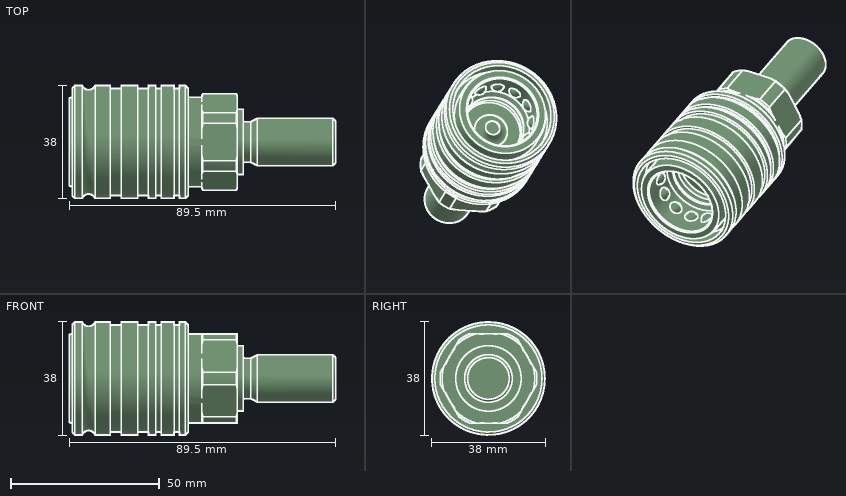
import cadquery as cq
import math


total_length = 89.5
core_radius = 15.05
mouth_edge_axial = 1.0
mouth_edge_radial = 0.3
hex_across_flats = 30.0
hex_corner_radius = 16.25
hex_start = 44.5
hex_end = 56.5
hex_edge_axial = 0.4
hex_edge_radial = 0.7
collar_radius = 11.0
collar_end = 58.5
undercut_radius = 6.85
undercut_fillet = 0.3
undercut_end = 61.0
shank_radius = 8.0
shank_start = 63.2
shank_chamfer = 1.0

mouth_radius = 12.4
socket_radius = 12.0
socket_chamfer = mouth_radius - socket_radius
socket_depth = 13.0
seat_radius = 10.3
seat_start = 13.95
seat_end = 14.55
seal_groove_width = 2.0
seal_groove_depth = 1.0
seal_groove_end = seat_end + seal_groove_width
bore_radius = 10.0
bore_depth = seal_groove_end + 2.0

pin_radius = 2.45
pin_flare = 3.1
pin_recess_clearance = 0.1
pin_recess_radius = pin_radius + pin_flare + pin_recess_clearance
pin_recess_depth = 0.3

ball_count = 12
ball_radius = 2.35
ball_x = 8.0
ball_circle_radius = 12.65

sleeve_radius = 19.0
sleeve_start = 0.95
sleeve_end = 40.0
sleeve_chamfer = 1.0
front_recess_radius = 16.85
front_recess_depth = 6.0
front_recess_floor = sleeve_start + front_recess_depth
ring_groove_radius = 18.0
ring_grooves = [(13.8, 17.4), (23.1, 26.6), (29.1, 30.9), (35.2, 37.0)]
grip_groove_start = 4.35
grip_groove_end = 8.7
grip_groove_depth = 1.45


def revolve_about_x(profile):
    """Turn a closed XY profile around the X axis."""
    return profile.close().revolve(360, (0, 0, 0), (1, 0, 0))


def cylinder_x(start, end, radius):
    """Cylinder on the X axis between two X places."""
    return cq.Workplane("YZ", origin=(start, 0, 0)).circle(radius).extrude(end - start)


def make_stepped_blank():
    """Solid outside of the core, with the neck left round and the nut as a disc."""
    profile = (
        cq.Workplane("XY")
        .moveTo(0, 0)
        .lineTo(0, core_radius - mouth_edge_radial)
        .lineTo(mouth_edge_axial, core_radius)
        .lineTo(hex_start, core_radius)
        .lineTo(hex_start, hex_corner_radius - hex_edge_radial)
        .lineTo(hex_start + hex_edge_axial, hex_corner_radius)
        .lineTo(hex_end - hex_edge_axial, hex_corner_radius)
        .lineTo(hex_end, hex_corner_radius - hex_edge_radial)
        .lineTo(hex_end, collar_radius)
        .lineTo(collar_end, collar_radius)
        .lineTo(collar_end, undercut_radius + undercut_fillet)
        .radiusArc((collar_end + undercut_fillet, undercut_radius), -undercut_fillet)
        .lineTo(undercut_end, undercut_radius)
        .lineTo(shank_start, shank_radius)
        .lineTo(total_length - shank_chamfer, shank_radius)
        .lineTo(total_length, shank_radius - shank_chamfer)
        .lineTo(total_length, 0)
    )
    return revolve_about_x(profile)


def make_flat_cutter():
    """Material outside the hexagon, from the sleeve's rear end to the end of the nut."""
    length = hex_end - sleeve_end
    corner_diameter = hex_across_flats / math.cos(math.pi / 6)
    hexagon = cq.Workplane("YZ", origin=(sleeve_end, 0, 0)).polygon(6, corner_diameter).extrude(length)
    return cylinder_x(sleeve_end, hex_end, sleeve_radius).cut(hexagon)


def make_socket_cutter():
    """Socket space: chamfered mouth, seat cone, seal groove and bore with the pin left standing."""
    floor = bore_depth + pin_recess_depth
    flare_mid = pin_flare * (1 - math.sqrt(0.5))
    profile = (
        cq.Workplane("XY")
        .moveTo(0, 0)
        .lineTo(0, mouth_radius)
        .lineTo(socket_chamfer, socket_radius)
        .lineTo(socket_depth, socket_radius)
        .lineTo(seat_start, seat_radius)
        .lineTo(seat_end, seat_radius)
        .threePointArc(
            (seat_end + seal_groove_width / 2, seat_radius + seal_groove_depth),
            (seal_groove_end, bore_radius),
        )
        .lineTo(bore_depth, bore_radius)
        .lineTo(bore_depth, pin_recess_radius)
        .lineTo(floor, pin_recess_radius)
        .lineTo(floor, pin_radius + pin_flare)
        .threePointArc(
            (floor - flare_mid, pin_radius + flare_mid),
            (floor - pin_flare, pin_radius),
        )
        .lineTo(floor - pin_flare, 0)
    )
    return revolve_about_x(profile)


def make_core():
    """Socket, nut and shank in one piece, with the ring of balls standing into the socket."""
    core = make_stepped_blank().cut(make_flat_cutter()).cut(make_socket_cutter())
    for index in range(ball_count):
        angle = math.pi / 2 + 2 * math.pi * index / ball_count
        centre_y = ball_circle_radius * math.cos(angle)
        centre_z = ball_circle_radius * math.sin(angle)
        core = core.union(cq.Workplane("XY").sphere(ball_radius).translate((ball_x, centre_y, centre_z)))
    return core


def make_sleeve():
    """Grip sleeve with a rounded groove, ring grooves and an open recess around the mouth."""
    groove_middle = (grip_groove_start + grip_groove_end) / 2
    profile = (
        cq.Workplane("XY")
        .moveTo(sleeve_start, front_recess_radius)
        .lineTo(sleeve_start, sleeve_radius - sleeve_chamfer)
        .lineTo(sleeve_start + sleeve_chamfer, sleeve_radius)
        .lineTo(grip_groove_start, sleeve_radius)
        .threePointArc((groove_middle, sleeve_radius - grip_groove_depth), (grip_groove_end, sleeve_radius))
    )
    for start, end in ring_grooves:
        profile = (
            profile.lineTo(start, sleeve_radius)
            .lineTo(start, ring_groove_radius)
            .lineTo(end, ring_groove_radius)
            .lineTo(end, sleeve_radius)
        )
    profile = (
        profile.lineTo(sleeve_end - sleeve_chamfer, sleeve_radius)
        .lineTo(sleeve_end, sleeve_radius - sleeve_chamfer)
        .lineTo(sleeve_end, core_radius)
        .lineTo(front_recess_floor, core_radius)
        .lineTo(front_recess_floor, front_recess_radius)
    )
    return revolve_about_x(profile)


core = make_core()
sleeve = make_sleeve()
result = cq.Compound.makeCompound([core.val(), sleeve.val()])